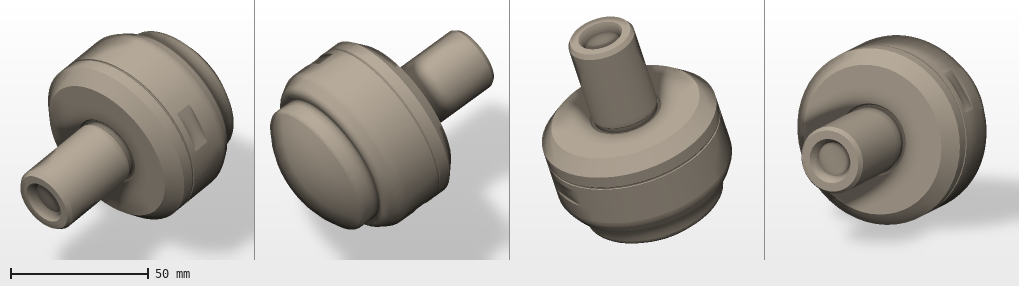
import cadquery as cq
import math

LENGTH = 85.0

STUD_R = 12.5
STUD_TIP_R = 11.4
TIP_CHAMFER_LENGTH = 1.7
NECK_R = 12.0
NECK_START_Y = 33.5
NECK_TAPER = STUD_R - NECK_R

CENTRE_R = 8.25
CENTRE_FLOOR_R = 6.3
CENTRE_DEPTH = 3.4

BODY_R = 33.0
BODY_START_Y = 34.9
BASE_R = 28.0
BASE_CHAMFER = BODY_R - BASE_R
SHOULDER_Y = 68.0
SHOULDER_CONE_Y = 62.1
SHOULDER_CONE_ANGLE = 30.0
SHOULDER_TOP_R = BODY_R - (SHOULDER_Y - SHOULDER_CONE_Y) * math.tan(math.radians(SHOULDER_CONE_ANGLE))
SHOULDER_LOWER_FILLET = 5.0
SHOULDER_UPPER_FILLET = 3.0

GROOVE_Y = 44.45
GROOVE_WIDTH = 1.0
GROOVE_DEPTH = 0.5

RECESS_R = 13.5
RECESS_FLOOR_R = 12.9
RECESS_DEPTH = RECESS_R - RECESS_FLOOR_R

DOME_R = 26.0
DOME_SPHERE_R = 40.0
DOME_RIM_FILLET = 2.0
DOME_RIM_Y = LENGTH - DOME_SPHERE_R + math.sqrt(DOME_SPHERE_R**2 - DOME_R**2)

ACROSS_FLATS = 63.9
FLAT_WIDTH = 6.6
FLAT_START_Y = 48.0
FLAT_ANGLE = 33.0


def revolve_about_y(outline):
    """Turn a closed outline in (radius, Y) about the Y axis."""
    return outline.close().revolve(360, (0, 0), (0, 1))


def rim_at(y):
    """Select the edges whose centre lies at the given Y."""
    tolerance = 0.1
    return cq.selectors.BoxSelector((-LENGTH, y - tolerance, -LENGTH), (LENGTH, y + tolerance, LENGTH))


def make_stud():
    outline = (
        cq.Workplane("XY")
        .moveTo(0, CENTRE_DEPTH)
        .lineTo(CENTRE_FLOOR_R, CENTRE_DEPTH)
        .lineTo(CENTRE_R, 0)
        .lineTo(STUD_TIP_R, 0)
        .lineTo(STUD_R, TIP_CHAMFER_LENGTH)
        .lineTo(STUD_R, NECK_START_Y - NECK_TAPER)
        .lineTo(NECK_R, NECK_START_Y)
        .lineTo(NECK_R, SHOULDER_Y)
        .lineTo(0, SHOULDER_Y)
    )
    return revolve_about_y(outline)


def make_body():
    outline = (
        cq.Workplane("XY")
        .moveTo(0, BODY_START_Y + RECESS_DEPTH)
        .lineTo(RECESS_FLOOR_R, BODY_START_Y + RECESS_DEPTH)
        .lineTo(RECESS_R, BODY_START_Y)
        .lineTo(BASE_R, BODY_START_Y)
        .lineTo(BODY_R, BODY_START_Y + BASE_CHAMFER)
        .lineTo(BODY_R, GROOVE_Y)
        .lineTo(BODY_R - GROOVE_DEPTH, GROOVE_Y + GROOVE_DEPTH)
        .lineTo(BODY_R - GROOVE_DEPTH, GROOVE_Y + GROOVE_WIDTH)
        .lineTo(BODY_R, GROOVE_Y + GROOVE_WIDTH)
        .lineTo(BODY_R, SHOULDER_CONE_Y)
        .lineTo(SHOULDER_TOP_R, SHOULDER_Y)
        .lineTo(0, SHOULDER_Y)
    )
    body = revolve_about_y(outline)
    body = body.edges(rim_at(SHOULDER_Y)).fillet(SHOULDER_UPPER_FILLET)
    return body.edges(rim_at(SHOULDER_CONE_Y)).fillet(SHOULDER_LOWER_FILLET)


def make_dome():
    arc_mid_angle = math.asin(DOME_R / DOME_SPHERE_R) / 2
    arc_mid = (
        DOME_SPHERE_R * math.sin(arc_mid_angle),
        LENGTH - DOME_SPHERE_R * (1 - math.cos(arc_mid_angle)),
    )
    outline = (
        cq.Workplane("XY")
        .moveTo(0, GROOVE_Y)
        .lineTo(DOME_R, GROOVE_Y)
        .lineTo(DOME_R, DOME_RIM_Y)
        .threePointArc(arc_mid, (0, LENGTH))
    )
    dome = revolve_about_y(outline)
    return dome.edges(rim_at(DOME_RIM_Y)).fillet(DOME_RIM_FILLET)


def make_flat_cutter(angle):
    """Block whose inner side is a wrench flat facing the given angle from +X toward +Z."""
    block = cq.Workplane("XY").box(BODY_R, FLAT_WIDTH, 2 * BODY_R, centered=(False, False, True))
    block = block.translate((ACROSS_FLATS / 2, FLAT_START_Y, 0))
    return block.rotate((0, 0, 0), (0, 1, 0), -angle)


result = make_stud().union(make_body()).union(make_dome())
for angle in (FLAT_ANGLE, FLAT_ANGLE + 180):
    result = result.cut(make_flat_cutter(angle))